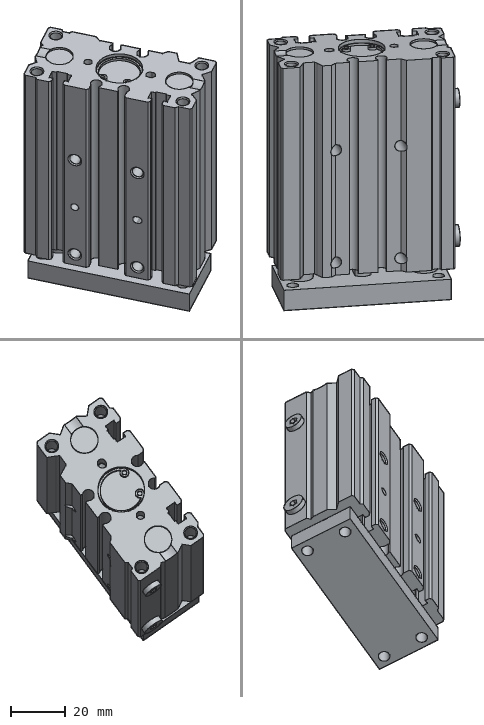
import cadquery as cq
import math


HOUSING_HEIGHT = 83.0
LEFT_X = -32.0
RIGHT_X = 32.5
BACK_Y = 15.0
FRONT_Y = -15.5
CORNER_CHAMFER = 0.7

FRONT_STEP = 1.0
FRONT_STEP_INNER_X = 26.5
FRONT_STEP_OUTER_X = 27.4
CENTRE_FACE_FRONT_Y = -13.0
LIP_CHAMFER = 0.8

BACK_NOTCH_OUTER_X = -26.9
BACK_NOTCH_INNER_X = -23.2
BACK_NOTCH_DEPTH = 1.0
BACK_NOTCH_SLOPE = 0.5
BACK_PANEL_Y = 13.3
BACK_PANEL_INNER_X = 12.1
BACK_PANEL_OUTER_X = 13.9
DOVETAIL_X = 21.4
DOVETAIL_TOP_HALF = 4.2
DOVETAIL_MID_HALF = 2.7
DOVETAIL_MID_Y = 12.0
DOVETAIL_FLOOR_HALF = 2.05
DOVETAIL_FLOOR_Y = 10.8

RIB_INSET = 0.65
RIGHT_RIB_X = RIGHT_X - RIB_INSET
LEFT_RIB_X = LEFT_X + RIB_INSET
RIB_HALF = 2.95
SIDE_GROOVE_Y = 6.0
SIDE_GROOVE_X = 29.7
RIGHT_LAND_Y = SIDE_GROOVE_Y + RIGHT_X - SIDE_GROOVE_X
LEFT_LAND_Y = SIDE_GROOVE_Y - LEFT_X - SIDE_GROOVE_X
SHALLOW_GROOVE_X = 30.8
SHALLOW_GROOVE_Y = 4.3
SHALLOW_LAND_Y = 5.4

SWITCH_X = 5.25
SWITCH_Y = 11.0
SWITCH_DIAMETER = 4.2
SWITCH_MOUTH = 3.2

T_SLOT_X = 19.0
T_MOUTH = 4.4
T_WIDTH = 7.4
T_LIP = 2.5
T_HEAD = 3.7
T_TOTAL = 6.7
T_CROWN_WIDTH = 4.0

DRILL_POINT_ANGLE = 118.0
CORNER_HOLE_X = 28.0
CORNER_HOLE_Y = 11.0
CORNER_HOLE_DIAMETER = 4.13
CORNER_HOLE_MOUTH = 5.0
CORNER_HOLE_DEPTH = 12.0
MOUNT_X = 12.0
MOUNT_Z = (5.0, 49.0)
MOUNT_DIAMETER = 4.2
MOUNT_MOUTH = 5.2
DOWEL_DIAMETER = 3.0
DOWEL_SLOT_LENGTH = 3.5
DOWEL_DEPTH = 6.0
DOWEL_Z = sum(MOUNT_Z) / 2

GUIDE_X = 23.0
GUIDE_ROD_DIAMETER = 10.0
GUIDE_ROD_END_DEPTH = 0.8
CHANNEL_WIDTH = 5.2
CHANNEL_DEPTH = 0.5
BORE_DIAMETER = 17.0
RING_GROOVE_DIAMETER = 17.8
RING_THICKNESS = 1.0
RING_TOP_DEPTH = 1.5

RING_OUTER_DIAMETER = 16.9
RING_INNER_DIAMETER = 15.3
EYE_X = 4.8
EYE_Y = -4.9
EYE_DIAMETER = 3.2
EYE_HOLE_DIAMETER = 1.7

PLUG_THICKNESS = 2.0
PLUG_Y = 9.9
LOWER_PLUG_Z = 11.0
LOWER_PLUG_DIAMETER = 8.0
UPPER_PLUG_Z = 64.9
UPPER_PLUG_DIAMETER = 7.0
HEX_ACROSS_FLATS = 2.7
HEX_DEPTH = 1.5
HEX_DRILL_DIAMETER = 1.8

PLATE_WIDTH = 62.0
PLATE_DEPTH = 25.0
PLATE_THICKNESS = 8.0
PLATE_Y = -0.1
PLATE_GAP = 5.0
PLATE_HOLE_X = 27.0
PLATE_HOLE_Y = 8.0
PLATE_HOLE_DIAMETER = 4.2
PISTON_ROD_DIAMETER = 8.0
PISTON_ROD_FLATS = 6.0
FLATS_TOP_Z = -2.0


def drill(diameter, depth):
    """Blind drilled hole: opening at the origin, going down -Z, with a conical end."""
    radius = diameter / 2
    point = radius / math.tan(math.radians(DRILL_POINT_ANGLE / 2))
    profile = [(0, 0), (radius, 0), (radius, -depth), (0, -depth - point)]
    return cq.Workplane("XZ").polyline(profile).close().revolve(360, (0, 0), (0, 1))


def mouth_chamfer(mouth, diameter):
    """45 degree countersink: mouth at the origin, going down -Z."""
    depth = (mouth - diameter) / 2
    return cq.Workplane("XY").circle(mouth / 2).workplane(offset=-depth).circle(diameter / 2).loft()


def housing_profile():
    """Outline of the extrusion, without its switch slots and T-slots."""
    step_y = FRONT_Y + FRONT_STEP
    switch_outer_x = SWITCH_X + SWITCH_MOUTH / 2
    right_side = [
        (RIGHT_X, -RIGHT_LAND_Y),
        (SIDE_GROOVE_X, -SIDE_GROOVE_Y),
        (RIGHT_RIB_X, -RIB_HALF),
        (RIGHT_RIB_X, RIB_HALF),
        (SIDE_GROOVE_X, SIDE_GROOVE_Y),
        (RIGHT_X, RIGHT_LAND_Y),
    ]
    back = [
        (RIGHT_X, BACK_Y - CORNER_CHAMFER),
        (RIGHT_X - CORNER_CHAMFER, BACK_Y),
        (DOVETAIL_X + DOVETAIL_TOP_HALF, BACK_Y),
        (DOVETAIL_X + DOVETAIL_MID_HALF, DOVETAIL_MID_Y),
        (DOVETAIL_X + DOVETAIL_FLOOR_HALF, DOVETAIL_FLOOR_Y),
        (DOVETAIL_X - DOVETAIL_FLOOR_HALF, DOVETAIL_FLOOR_Y),
        (DOVETAIL_X - DOVETAIL_MID_HALF, DOVETAIL_MID_Y),
        (DOVETAIL_X - DOVETAIL_TOP_HALF, BACK_Y),
        (BACK_PANEL_OUTER_X, BACK_Y),
        (BACK_PANEL_INNER_X, BACK_PANEL_Y),
        (-BACK_PANEL_INNER_X, BACK_PANEL_Y),
        (-BACK_PANEL_OUTER_X, BACK_Y),
        (BACK_NOTCH_INNER_X, BACK_Y),
        (BACK_NOTCH_INNER_X - BACK_NOTCH_SLOPE, BACK_Y - BACK_NOTCH_DEPTH),
        (BACK_NOTCH_OUTER_X + BACK_NOTCH_SLOPE, BACK_Y - BACK_NOTCH_DEPTH),
        (BACK_NOTCH_OUTER_X, BACK_Y),
        (LEFT_X + CORNER_CHAMFER, BACK_Y),
        (LEFT_X, BACK_Y - CORNER_CHAMFER),
    ]
    left_side = [
        (LEFT_X, SHALLOW_LAND_Y),
        (-SHALLOW_GROOVE_X, SHALLOW_GROOVE_Y),
        (LEFT_RIB_X, RIB_HALF),
        (LEFT_RIB_X, -RIB_HALF),
        (-SIDE_GROOVE_X, -SIDE_GROOVE_Y),
        (LEFT_X, -LEFT_LAND_Y),
    ]
    front_left_corner = [
        (LEFT_X, step_y + CORNER_CHAMFER),
        (LEFT_X + CORNER_CHAMFER, step_y),
    ]
    front_left = [
        (-FRONT_STEP_OUTER_X, step_y),
        (-FRONT_STEP_INNER_X, FRONT_Y),
        (-switch_outer_x - LIP_CHAMFER, FRONT_Y),
        (-switch_outer_x, FRONT_Y + LIP_CHAMFER),
        (-switch_outer_x, CENTRE_FACE_FRONT_Y),
    ]
    front_right = [(-x, y) for x, y in reversed(front_left)]
    front_right_corner = [
        (RIGHT_X - CORNER_CHAMFER, step_y),
        (RIGHT_X, step_y + CORNER_CHAMFER),
    ]
    front = front_left_corner + front_left + front_right + front_right_corner
    return right_side + back + left_side + front


def switch_slot(x, side):
    """Round slot with a narrow mouth; side is +1 for the back face and -1 for the front face."""
    slot = cq.Workplane("XY").circle(SWITCH_DIAMETER / 2).extrude(HOUSING_HEIGHT)
    mouth = cq.Workplane("XY").rect(SWITCH_MOUTH, 2 * SWITCH_DIAMETER).extrude(HOUSING_HEIGHT)
    mouth = mouth.translate((0, side * SWITCH_DIAMETER, 0))
    return slot.union(mouth).translate((x, side * SWITCH_Y, 0))


def t_slot(x):
    """T-slot with chamfered lips and a raised crown in its roof."""
    half_mouth = T_MOUTH / 2
    half_width = T_WIDTH / 2
    half_crown = T_CROWN_WIDTH / 2
    head_y = T_LIP + T_HEAD
    right_half = [
        (half_mouth + LIP_CHAMFER, 0),
        (half_mouth, LIP_CHAMFER),
        (half_mouth, T_LIP),
        (half_width, T_LIP),
        (half_width, head_y),
        (half_crown, head_y),
        (half_crown, T_TOTAL),
    ]
    left_half = [(-u, v) for u, v in reversed(right_half)]
    slot = cq.Workplane("XY").polyline(right_half + left_half).close().extrude(HOUSING_HEIGHT)
    return slot.translate((x, FRONT_Y, 0))


def corner_hole(x, y):
    hole = drill(CORNER_HOLE_DIAMETER, CORNER_HOLE_DEPTH)
    hole = hole.union(mouth_chamfer(CORNER_HOLE_MOUTH, CORNER_HOLE_DIAMETER))
    return hole.translate((x, y, HOUSING_HEIGHT))


def dowel_hole(slotted):
    """Dowel hole at the origin, optionally lengthened along X into a slot."""
    if not slotted:
        return drill(DOWEL_DIAMETER, DOWEL_DEPTH)
    slot = cq.Workplane("XY").slot2D(DOWEL_SLOT_LENGTH, DOWEL_DIAMETER).extrude(-DOWEL_DEPTH)
    return slot.union(drill(DOWEL_DIAMETER, DOWEL_DEPTH))


def on_front_face(shape, x, z):
    """Turns a hole that goes down -Z so that it goes into the front face."""
    return shape.rotate((0, 0, 0), (1, 0, 0), 90).translate((x, FRONT_Y, z))


def mounting_hole(x, z):
    """Through hole along Y with a chamfered front mouth."""
    hole = cq.Workplane("XY").circle(MOUNT_DIAMETER / 2).extrude(FRONT_Y - BACK_Y)
    return on_front_face(hole.union(mouth_chamfer(MOUNT_MOUTH, MOUNT_DIAMETER)), x, z)


def guide_hole(side):
    """Through hole for a guide rod with a curved channel out to the side face."""
    hole = cq.Workplane("XY").circle(GUIDE_ROD_DIAMETER / 2).extrude(-HOUSING_HEIGHT)
    channel_profile = (
        cq.Workplane("YZ")
        .moveTo(-CHANNEL_WIDTH / 2, 0)
        .threePointArc((0, -CHANNEL_DEPTH), (CHANNEL_WIDTH / 2, 0))
        .close()
    )
    channel = channel_profile.extrude(side * (RIGHT_X - GUIDE_X))
    return hole.union(channel).translate((side * GUIDE_X, 0, HOUSING_HEIGHT))


def bore_recess():
    """Mouth of the bore with the retaining ring's groove at its floor."""
    ring_z = HOUSING_HEIGHT - RING_TOP_DEPTH - RING_THICKNESS
    bore = cq.Workplane("XY", (0, 0, ring_z)).circle(BORE_DIAMETER / 2)
    bore = bore.extrude(RING_TOP_DEPTH + RING_THICKNESS)
    groove = cq.Workplane("XY", (0, 0, ring_z)).circle(RING_GROOVE_DIAMETER / 2)
    return bore.union(groove.extrude(RING_THICKNESS))


def port_plug(z, diameter):
    """Plug head on the left side face with a drilled hexagon socket."""
    plug = cq.Workplane("XY").circle(diameter / 2).extrude(-PLUG_THICKNESS)
    hex_diameter = HEX_ACROSS_FLATS / math.cos(math.pi / 6)
    socket = cq.Workplane("XY").polygon(6, hex_diameter).extrude(-HEX_DEPTH)
    plug = plug.cut(socket).cut(drill(HEX_DRILL_DIAMETER, HEX_DEPTH))
    plug = plug.rotate((0, 0, 0), (0, 1, 0), -90)
    return plug.translate((LEFT_X - PLUG_THICKNESS, PLUG_Y, z))


def make_housing():
    housing = cq.Workplane("XY").polyline(housing_profile()).close().extrude(HOUSING_HEIGHT)
    for side in (-1, 1):
        housing = housing.cut(t_slot(side * T_SLOT_X))
        housing = housing.cut(guide_hole(side))
        dowel = dowel_hole(slotted=side > 0)
        housing = housing.cut(dowel.translate((side * MOUNT_X, 0, HOUSING_HEIGHT)))
        housing = housing.cut(on_front_face(dowel, side * MOUNT_X, DOWEL_Z))
        for z in MOUNT_Z:
            housing = housing.cut(mounting_hole(side * MOUNT_X, z))
        for face in (-1, 1):
            housing = housing.cut(switch_slot(side * SWITCH_X, face))
            housing = housing.cut(corner_hole(side * CORNER_HOLE_X, face * CORNER_HOLE_Y))
    housing = housing.cut(bore_recess())
    housing = housing.union(port_plug(LOWER_PLUG_Z, LOWER_PLUG_DIAMETER))
    return housing.union(port_plug(UPPER_PLUG_Z, UPPER_PLUG_DIAMETER))


def make_ring():
    """Open retaining ring with a holed eye at each end."""
    outer_radius = RING_OUTER_DIAMETER / 2
    eyes = [(-EYE_X, EYE_Y), (EYE_X, EYE_Y)]
    band = cq.Workplane("XY").circle(outer_radius).circle(RING_INNER_DIAMETER / 2).extrude(RING_THICKNESS)
    gap_profile = [(0, 0), (2 * EYE_X, 2 * EYE_Y), (-2 * EYE_X, 2 * EYE_Y)]
    band = band.cut(cq.Workplane("XY").polyline(gap_profile).close().extrude(RING_THICKNESS))
    ring = band.union(cq.Workplane("XY").pushPoints(eyes).circle(EYE_DIAMETER / 2).extrude(RING_THICKNESS))
    ring = ring.intersect(cq.Workplane("XY").circle(outer_radius).extrude(RING_THICKNESS))
    eye_holes = cq.Workplane("XY").pushPoints(eyes).circle(EYE_HOLE_DIAMETER / 2)
    ring = ring.cut(eye_holes.extrude(RING_THICKNESS))
    return ring.translate((0, 0, HOUSING_HEIGHT - RING_TOP_DEPTH - RING_THICKNESS))


def make_carriage():
    """End plate with two guide rods through the housing and a piston rod up to its lower face."""
    plate = cq.Workplane("XY", (0, PLATE_Y, -PLATE_GAP)).rect(PLATE_WIDTH, PLATE_DEPTH)
    plate = plate.extrude(-PLATE_THICKNESS)
    corners = [(x, y) for x in (-PLATE_HOLE_X, PLATE_HOLE_X) for y in (-PLATE_HOLE_Y, PLATE_HOLE_Y)]
    holes = cq.Workplane("XY").pushPoints(corners).circle(PLATE_HOLE_DIAMETER / 2)
    plate = plate.cut(holes.extrude(-PLATE_GAP - PLATE_THICKNESS))
    rod_length = PLATE_GAP + HOUSING_HEIGHT - GUIDE_ROD_END_DEPTH
    guide_rods = cq.Workplane("XY", (0, 0, -PLATE_GAP)).pushPoints([(-GUIDE_X, 0), (GUIDE_X, 0)])
    guide_rods = guide_rods.circle(GUIDE_ROD_DIAMETER / 2).extrude(rod_length)
    piston_rod = cq.Workplane("XY").circle(PISTON_ROD_DIAMETER / 2).extrude(FLATS_TOP_Z)
    flats = cq.Workplane("XY").circle(PISTON_ROD_DIAMETER / 2).extrude(-PLATE_GAP)
    across_flats = cq.Workplane("XY").rect(PISTON_ROD_FLATS, PISTON_ROD_DIAMETER).extrude(-PLATE_GAP)
    return plate.union(guide_rods).union(piston_rod).union(flats.intersect(across_flats))


housing = make_housing()
ring = make_ring()
carriage = make_carriage()

bodies = [body.solids().val() for body in (housing, ring, carriage)]
result = cq.Compound.makeCompound(bodies)